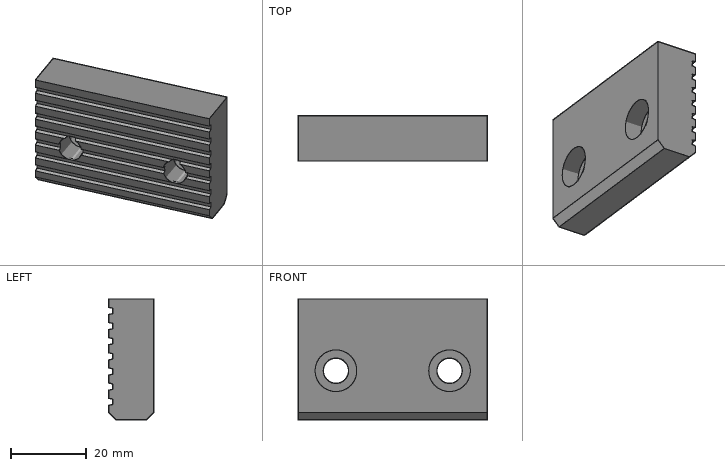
import cadquery as cq

length = 50.0
thickness = 12.0
height = 32.0
bottom_chamfer = 2.0

hole_spacing = 30.0
hole_height = 13.0
hole_diameter = 6.6
counterbore_diameter = 11.0
counterbore_depth = 5.0

groove_count = 7
groove_pitch = 4.0
first_groove_drop = 3.2
groove_depth = 1.1
groove_mouth_width = 1.85
groove_floor_width = 1.35

front_y = -thickness / 2
back_y = thickness / 2


def make_block():
    """Plain block with both long bottom edges chamfered."""
    block = cq.Workplane("XY").box(length, thickness, height, centered=(True, True, False))
    return block.faces("<Z").edges("|X").chamfer(bottom_chamfer)


def make_groove(middle_z):
    """Full-length trapezoidal cutter, narrowing from the back face inward."""
    floor_y = back_y - groove_depth
    return (
        cq.Workplane("YZ")
        .moveTo(back_y, middle_z - groove_mouth_width / 2)
        .lineTo(floor_y, middle_z - groove_floor_width / 2)
        .lineTo(floor_y, middle_z + groove_floor_width / 2)
        .lineTo(back_y, middle_z + groove_mouth_width / 2)
        .close()
        .extrude(length / 2, both=True)
    )


def drill_mounting_holes(body):
    """Two through holes with flat-bottomed counterbores."""
    return (
        body.copyWorkplane(cq.Workplane("XZ", origin=(0, front_y, 0)))
        .pushPoints([(-hole_spacing / 2, hole_height), (hole_spacing / 2, hole_height)])
        .cboreHole(hole_diameter, counterbore_diameter, counterbore_depth)
    )


result = drill_mounting_holes(make_block())
for index in range(groove_count):
    result = result.cut(make_groove(height - first_groove_drop - index * groove_pitch))